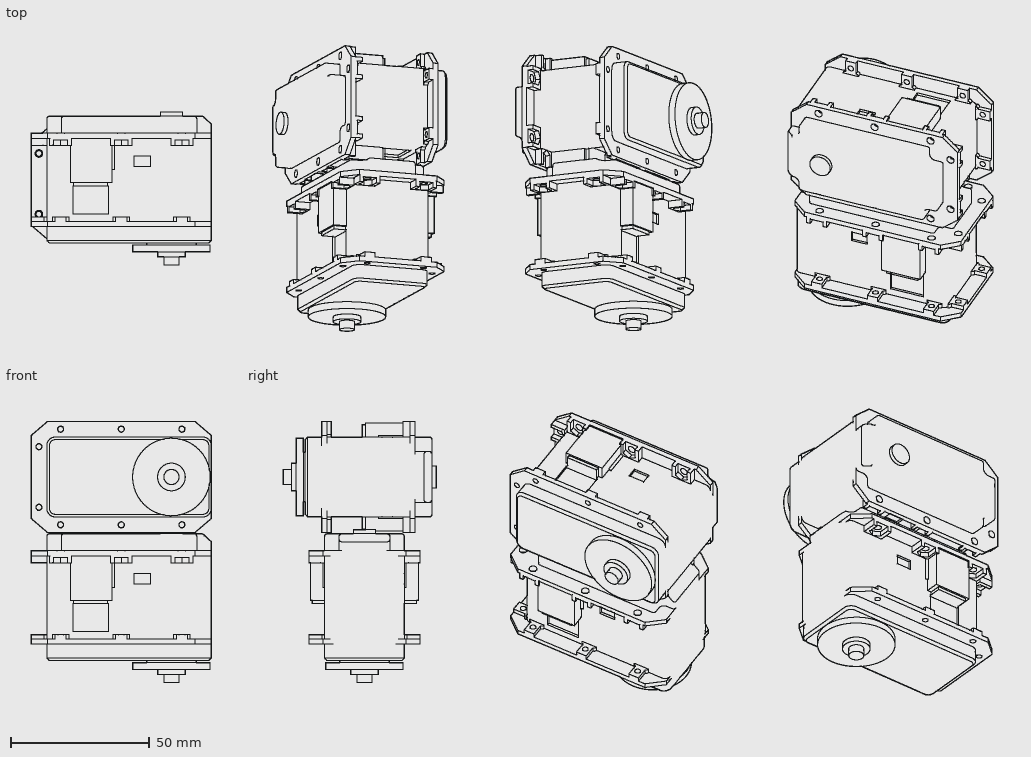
import cadquery as cq
import math


CASE_LENGTH = 59.5
CASE_WIDTH = 28.9
CASE_HEIGHT = 45.9
CASE_RADIUS = 2.1
AXIS_TO_END = CASE_WIDTH / 2
CASE_BACK = AXIS_TO_END - CASE_LENGTH

LOWER_COVER_RADIUS = 3.1
LOWER_COVER_CHAMFER = 0.9

UPPER_COVER_FILLET = 1.0
SCREW_NOTCH = 5.3
NOTCH_INNER_RADIUS = 2.2
NOTCH_OUTER_RADIUS = 0.9
SLOPE_LENGTH = 3.1
SLOPE_DROP = 2.9

FLANGE_OVERHANG = 5.7
FLANGE_THICKNESS = 1.9
FLANGE_LENGTH = CASE_LENGTH + FLANGE_OVERHANG
FLANGE_WIDTH = CASE_WIDTH + 2 * FLANGE_OVERHANG
FLANGE_BACK = CASE_BACK - FLANGE_OVERHANG
CORNER_CUT_X = 5.9
CORNER_CUT_Y = 5.1
LOWER_FLANGE_BOTTOM = 5.9
LOWER_FLANGE_TOP = LOWER_FLANGE_BOTTOM + FLANGE_THICKNESS
UPPER_FLANGE_BOTTOM = 37.85
UPPER_FLANGE_TOP = UPPER_FLANGE_BOTTOM + FLANGE_THICKNESS

SCREW_EDGE_DISTANCE = 2.8
SIDE_SCREW_PITCH = 21.9
BACK_SCREW_PITCH = 21.9
FLANGE_MIDDLE = AXIS_TO_END - FLANGE_LENGTH / 2

NUT_PAD_WIDTH = 7.9
NUT_PAD_HEIGHT = 2.55
NUT_WIDTH = 5.0
NUT_DEPTH = 1.9
CLEARANCE_HOLE = 2.7

SCREW_PAD_WIDTH = 4.1
SCREW_PAD_HEIGHT = 1.6
SCREW_PAD_RADIUS = 0.9
SCREW_HOLE = 2.1

CONNECTOR_MIDDLE = -29.0
CONNECTOR_WIDTH = 15.1
CONNECTOR_BOTTOM = 21.8
CONNECTOR_PROTRUSION = 5.1
PLUG_MIDDLE = -29.2
PLUG_WIDTH = 12.3
PLUG_BOTTOM = 20.6
PLUG_PROTRUSION = 4.4
RECESS_WIDTH = 12.9
RECESS_BOTTOM = 10.5
RECESS_DEPTH = 0.9
RIB_WIDTH = 0.9
RIB_PROTRUSION = 0.6
RIB_BOTTOM = 26.5

WINDOW_MIDDLE = -10.6
WINDOW_WIDTH = 6.0
WINDOW_BOTTOM = 27.75
WINDOW_HEIGHT = 3.8
WINDOW_DEPTH = 0.9

REAR_BOSS_DIAMETER = 8.0
REAR_BOSS_TOP = 47.4
BEARING_DIAMETER = 18.0
BEARING_END = -0.7
HORN_DIAMETER = 28.0
HORN_END = -3.2
COLLAR_DIAMETER = 10.0
COLLAR_END = -5.0
SHAFT_DIAMETER = 5.5
SHAFT_END = -7.9

UPRIGHT_AXIS_X = 18.1
UPRIGHT_AXIS_Y = 1.7
UPRIGHT_SHAFT_TIP_Z = -47.2
LYING_AXIS_Z = 27.1
LYING_SHAFT_TIP_Y = -27.7


def box(x_min, x_max, y_min, y_max, z_min, z_max):
    size = (x_max - x_min, y_max - y_min, z_max - z_min)
    return cq.Workplane().box(*size, centered=False).translate((x_min, y_min, z_min))


def cylinder(diameter, z_min, z_max):
    return cq.Workplane().workplane(offset=z_min).circle(diameter / 2).extrude(z_max - z_min)


def case_block(z_min, z_max):
    return box(CASE_BACK, AXIS_TO_END, -CASE_WIDTH / 2, CASE_WIDTH / 2, z_min, z_max)


def both_sides(feature):
    """A feature of the -Y side together with its mirror image on the +Y side."""
    return feature.union(feature.mirror("XZ"))


def at_screws(feature):
    """Copies of a feature, one at each screw.

    The feature is drawn for a screw at the origin, with the case on its +Y side.
    """
    side_y = -CASE_WIDTH / 2 - SCREW_EDGE_DISTANCE
    back_x = CASE_BACK - SCREW_EDGE_DISTANCE
    copies = cq.Workplane()
    for step in (-1, 0, 1):
        side_copy = feature.translate((FLANGE_MIDDLE + step * SIDE_SCREW_PITCH, side_y, 0))
        copies = copies.add(both_sides(side_copy))
    turned = feature.rotate((0, 0, 0), (0, 0, 1), -90)
    copies = copies.add(both_sides(turned.translate((back_x, -BACK_SCREW_PITCH / 2, 0))))
    return copies.combine()


def lower_cover():
    cover = case_block(0, LOWER_FLANGE_TOP)
    return cover.edges("|Z").fillet(LOWER_COVER_RADIUS).faces("<Z").chamfer(LOWER_COVER_CHAMFER)


def middle_case():
    return case_block(LOWER_FLANGE_BOTTOM, UPPER_FLANGE_TOP).edges("|Z").fillet(CASE_RADIUS)


def upper_cover():
    cover = case_block(UPPER_FLANGE_BOTTOM, CASE_HEIGHT)
    half = CASE_WIDTH / 2
    for x in (CASE_BACK, AXIS_TO_END):
        for y in (-half, half):
            notch = (
                cq.Workplane()
                .box(2 * SCREW_NOTCH, 2 * SCREW_NOTCH, 2 * CASE_HEIGHT)
                .edges("|Z")
                .fillet(NOTCH_INNER_RADIUS)
                .translate((x, y, 0))
            )
            cover = cover.cut(notch)
    outer_corners = cq.selectors.BoxSelector
    reach = 0.1
    for x in (CASE_BACK, AXIS_TO_END):
        inward = math.copysign(SCREW_NOTCH, -x)
        for side in (-1, 1):
            for px, py in ((x, side * (half - SCREW_NOTCH)), (x + inward, side * half)):
                cover = cover.edges(
                    outer_corners((px - reach, py - reach, 0), (px + reach, py + reach, 2 * CASE_HEIGHT))
                ).fillet(NOTCH_OUTER_RADIUS)
    slope = (
        cq.Workplane("XZ")
        .moveTo(AXIS_TO_END - SLOPE_LENGTH, CASE_HEIGHT)
        .lineTo(AXIS_TO_END, CASE_HEIGHT)
        .lineTo(AXIS_TO_END, CASE_HEIGHT - SLOPE_DROP)
        .close()
        .extrude(CASE_WIDTH, both=True)
    )
    cover = cover.cut(slope)
    return cover.faces(">Z").edges().fillet(UPPER_COVER_FILLET)


def flange(z_min):
    front, back = AXIS_TO_END, FLANGE_BACK
    half = FLANGE_WIDTH / 2
    points = [
        (back, -half + CORNER_CUT_Y),
        (back + CORNER_CUT_X, -half),
        (front - CORNER_CUT_X, -half),
        (front, -half + CORNER_CUT_Y),
    ]
    points += [(x, -y) for x, y in reversed(points)]
    return cq.Workplane().workplane(offset=z_min).polyline(points).close().extrude(FLANGE_THICKNESS)


def nut_pad():
    half = NUT_PAD_WIDTH / 2
    outer = SCREW_EDGE_DISTANCE - FLANGE_OVERHANG
    bottom = UPPER_FLANGE_BOTTOM - NUT_PAD_HEIGHT
    return box(-half, half, outer, SCREW_EDGE_DISTANCE, bottom, UPPER_FLANGE_BOTTOM)


def nut_pocket():
    """Open at the rim and below; the inner end is the V of a hexagon nut."""
    half = NUT_WIDTH / 2
    corner = half / math.cos(math.radians(30))
    return (
        cq.Workplane()
        .workplane(offset=UPPER_FLANGE_BOTTOM - NUT_PAD_HEIGHT)
        .polyline([
            (-half, -FLANGE_OVERHANG),
            (half, -FLANGE_OVERHANG),
            (half, corner / 2),
            (0, corner),
            (-half, corner / 2),
        ])
        .close()
        .extrude(NUT_DEPTH)
    )


def screw_pad():
    """A narrow pad that flares into the case with a radius on each side."""
    half = SCREW_PAD_WIDTH / 2
    outer = SCREW_EDGE_DISTANCE - FLANGE_OVERHANG
    inner = SCREW_EDGE_DISTANCE
    radius = SCREW_PAD_RADIUS
    return (
        cq.Workplane()
        .workplane(offset=LOWER_FLANGE_TOP)
        .moveTo(-half, outer)
        .lineTo(half, outer)
        .lineTo(half, inner - radius)
        .radiusArc((half + radius, inner), -radius)
        .lineTo(-half - radius, inner)
        .radiusArc((-half, inner - radius), -radius)
        .close()
        .extrude(SCREW_PAD_HEIGHT)
    )


def side_block(middle, width, outer, inner, z_min, z_max):
    """A block on the -Y side, between two distances outward from the case wall."""
    wall = -CASE_WIDTH / 2
    return box(middle - width / 2, middle + width / 2, wall - outer, wall - inner, z_min, z_max)


def connector():
    """Connector, the plug below it and the wedge-shaped rib along it, on the -Y side."""
    socket = side_block(
        CONNECTOR_MIDDLE, CONNECTOR_WIDTH, CONNECTOR_PROTRUSION, 0, CONNECTOR_BOTTOM, UPPER_FLANGE_BOTTOM
    )
    plug = side_block(PLUG_MIDDLE, PLUG_WIDTH, PLUG_PROTRUSION, 0, PLUG_BOTTOM, UPPER_FLANGE_BOTTOM)
    rib_x = CONNECTOR_MIDDLE + CONNECTOR_WIDTH / 2
    case_side = -CASE_WIDTH / 2
    rib = (
        cq.Workplane()
        .workplane(offset=RIB_BOTTOM)
        .polyline([(rib_x, case_side), (rib_x + RIB_WIDTH, case_side), (rib_x, case_side - RIB_PROTRUSION)])
        .close()
        .extrude(UPPER_FLANGE_BOTTOM - RIB_BOTTOM)
    )
    return socket.union(plug).union(rib)


def side_recesses():
    """Shallow recess below the plug and the small window, on the -Y side."""
    recess = side_block(PLUG_MIDDLE, RECESS_WIDTH, 0, -RECESS_DEPTH, RECESS_BOTTOM, PLUG_BOTTOM)
    window_top = WINDOW_BOTTOM + WINDOW_HEIGHT
    window = side_block(WINDOW_MIDDLE, WINDOW_WIDTH, 0, -WINDOW_DEPTH, WINDOW_BOTTOM, window_top)
    return recess.union(window)


def output_parts():
    parts = cylinder(REAR_BOSS_DIAMETER, UPPER_FLANGE_TOP, REAR_BOSS_TOP)
    parts = parts.union(cylinder(BEARING_DIAMETER, BEARING_END, LOWER_FLANGE_TOP))
    parts = parts.union(cylinder(HORN_DIAMETER, HORN_END, BEARING_END))
    parts = parts.union(cylinder(COLLAR_DIAMETER, COLLAR_END, HORN_END))
    return parts.union(cylinder(SHAFT_DIAMETER, SHAFT_END, COLLAR_END))


def servo():
    body = middle_case().union(lower_cover()).union(upper_cover())
    body = body.union(flange(LOWER_FLANGE_BOTTOM)).union(flange(UPPER_FLANGE_BOTTOM))
    body = body.union(at_screws(nut_pad())).union(at_screws(screw_pad()))
    body = body.cut(at_screws(nut_pocket()))
    body = body.cut(at_screws(cylinder(CLEARANCE_HOLE, UPPER_FLANGE_BOTTOM - NUT_PAD_HEIGHT, UPPER_FLANGE_TOP)))
    body = body.cut(at_screws(cylinder(SCREW_HOLE, LOWER_FLANGE_BOTTOM, LOWER_FLANGE_TOP + SCREW_PAD_HEIGHT)))
    body = body.union(both_sides(connector()))
    body = body.cut(both_sides(side_recesses()))
    return body.union(output_parts())


upright_servo = servo().translate((UPRIGHT_AXIS_X, UPRIGHT_AXIS_Y, UPRIGHT_SHAFT_TIP_Z - SHAFT_END))
lying_servo = (
    servo()
    .rotate((0, 0, 0), (1, 0, 0), -90)
    .translate((UPRIGHT_AXIS_X, LYING_SHAFT_TIP_Y - SHAFT_END, LYING_AXIS_Z))
)

result = cq.Compound.makeCompound([upright_servo.val(), lying_servo.val()])